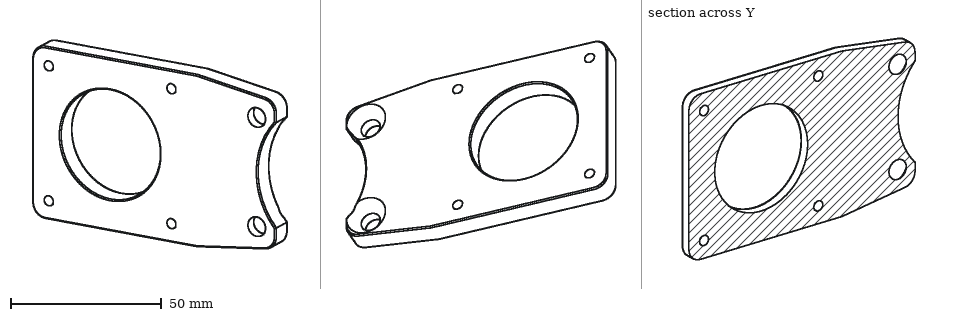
import cadquery as cq
import math

length = 93.65
height = 60.3
thickness = 8.0
corner_radius = 5.0
edge_chamfer = 0.5

shoulder_x = 63.3
taper_angle = 8.0
notch_depth = 7.0
notch_half_width = 18.45

bore_x = 30.0
bore_diameter = 38.2
screw_spacing = 47.2
screw_diameter = 3.5

ear_hole_x = 86.3
ear_hole_spacing = 38.2
ear_hole_diameter = 6.7
countersink_diameter = 13.9
countersink_angle = 82.0

half_height = height / 2
ear_half_height = half_height - (length - shoulder_x) * math.tan(math.radians(taper_angle))


def extrude_through(sketch):
    """Extrude an XZ sketch through the plate, from its front face at Y = 0 to the back."""
    return sketch.extrude(-thickness)


def make_plate():
    """Plate with rounded corners and softened shoulders, ready for its face chamfers."""
    outline = (
        cq.Workplane("XZ")
        .moveTo(0, -half_height)
        .lineTo(shoulder_x, -half_height)
        .lineTo(length, -ear_half_height)
        .lineTo(length, -notch_half_width)
        .threePointArc((length - notch_depth, 0), (length, notch_half_width))
        .lineTo(length, ear_half_height)
        .lineTo(shoulder_x, half_height)
        .lineTo(0, half_height)
        .close()
    )
    plate = extrude_through(outline)
    margin = 0.9
    inner_band = cq.selectors.BoxSelector(
        (-margin, -margin, -notch_half_width - margin),
        (length + margin, thickness + margin, notch_half_width + margin),
    )
    through_edges = cq.selectors.ParallelDirSelector(cq.Vector(0, 1, 0))
    outer_corners = cq.selectors.SubtractSelector(through_edges, inner_band)
    return plate.edges(outer_corners).fillet(corner_radius)


def hole_cutter(centers, diameter):
    """Round cutters through the plate at the given XZ centres."""
    return extrude_through(cq.Workplane("XZ").pushPoints(centers).circle(diameter / 2))


def countersink_cutter(x, z):
    """Cone narrowing from the back face down to the ear hole."""
    head_radius = countersink_diameter / 2
    hole_radius = ear_hole_diameter / 2
    depth = (head_radius - hole_radius) / math.tan(math.radians(countersink_angle / 2))
    return cq.Solid.makeCone(head_radius, hole_radius, depth, cq.Vector(x, thickness, z), cq.Vector(0, -1, 0))


half_screw = screw_spacing / 2
screw_centers = [(bore_x + sx * half_screw, sz * half_screw) for sx in (-1, 1) for sz in (-1, 1)]
ear_centers = [(ear_hole_x, side * ear_hole_spacing / 2) for side in (-1, 1)]

body = make_plate().cut(hole_cutter([(bore_x, 0)], bore_diameter))
body = body.faces("<Y or >Y").edges().chamfer(edge_chamfer)
body = body.cut(hole_cutter(screw_centers, screw_diameter))
result = body.cut(hole_cutter(ear_centers, ear_hole_diameter))
for ear_x, ear_z in ear_centers:
    result = result.cut(cq.Workplane(countersink_cutter(ear_x, ear_z)))